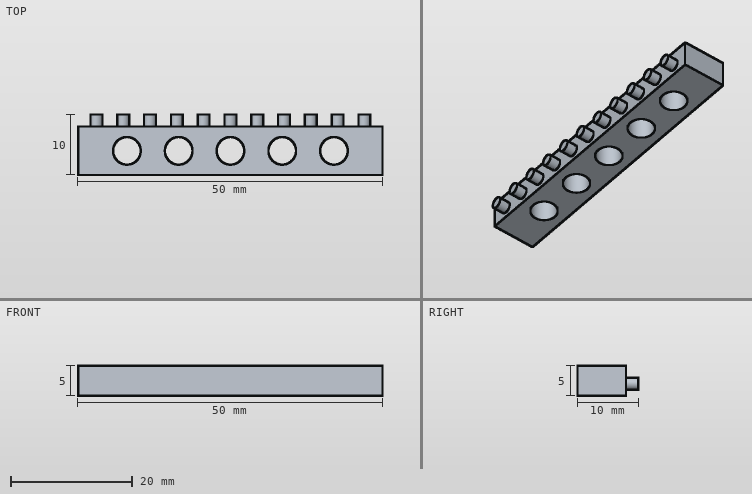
import cadquery as cq

bar_length = 50.0
bar_width = 8.0
bar_height = 5.0

hole_diameter = 4.5
hole_count = 5
hole_pitch = 8.5

pin_diameter = 2.0
pin_length = 2.0
pin_count = 11
pin_pitch = 4.4
pin_axis_height = 2.0


def row_positions(count, pitch):
    """X positions of an evenly spaced row centred on the bar."""
    return [(i - (count - 1) / 2) * pitch for i in range(count)]


def make_bar():
    """Rectangular bar resting on Z = 0 with its row of through holes."""
    bar = cq.Workplane("XY").box(bar_length, bar_width, bar_height, centered=(True, True, False))
    hole_centres = [(x, 0) for x in row_positions(hole_count, hole_pitch)]
    return bar.faces(">Z").workplane().pushPoints(hole_centres).hole(hole_diameter)


def make_pins():
    """Pins extending toward +Y from the back face of the bar."""
    pin_centres = [(x, pin_axis_height) for x in row_positions(pin_count, pin_pitch)]
    back_face = cq.Workplane("XZ").workplane(offset=-bar_width / 2)
    return back_face.pushPoints(pin_centres).circle(pin_diameter / 2).extrude(-pin_length)


result = make_bar().union(make_pins())